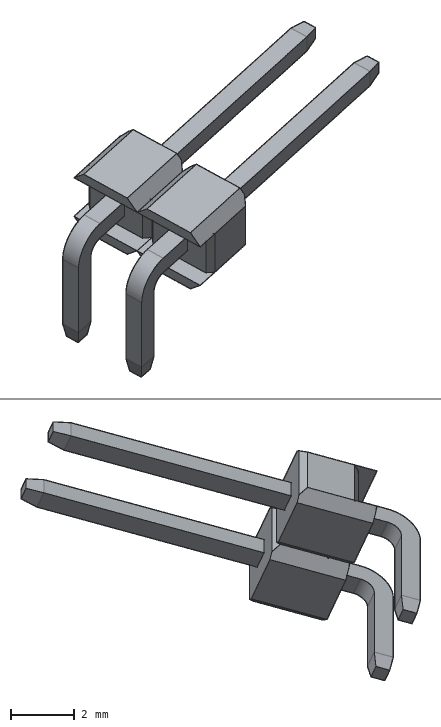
import cadquery as cq

pin_count = 2
overall_length = 12.36
overall_height = 5.5
pitch = 2.54

housing_height = 2.51
housing_length = 2.56
housing_front = 1.8
bevel = 0.4
corner_chamfer = 0.21
recess_depth = 0.56

pin_width = 0.64
bend_outer_radius = 1.11
tip_length = 0.57
tip_width = 0.47

housing_back = housing_front + housing_length
core_front = housing_front + recess_depth
core_height = housing_height - 2 * bevel
pin_bottom = housing_height / 2 - overall_height
pin_centers = [(i - (pin_count - 1) / 2) * pitch for i in range(pin_count)]


def make_cell(x):
    """One bevelled housing block, with a front recess between two flanges."""
    block = (
        cq.Workplane("XY")
        .box(pitch, housing_length, housing_height, centered=(True, False, True))
        .edges("|Y")
        .chamfer(bevel)
    )
    back_corners = (
        cq.Workplane("XY")
        .box(pitch, housing_length, housing_height, centered=(True, False, True))
        .edges("|Z and >Y")
        .chamfer(corner_chamfer)
    )
    recess = cq.Workplane("XY").box(pitch, housing_length, core_height, centered=(True, False, True))
    core = (
        cq.Workplane("XY")
        .box(pitch, housing_length - recess_depth, core_height, centered=(True, False, True))
        .edges("|Z and <Y")
        .chamfer(corner_chamfer)
        .translate((0, recess_depth, 0))
    )
    cell = block.intersect(back_corners).cut(recess.cut(core))
    return cell.translate((x, housing_front, 0))


def make_housing():
    """Adjoining cells joined into one body, with a square hole for each pin."""
    housing = make_cell(pin_centers[0])
    for x in pin_centers[1:]:
        housing = housing.union(make_cell(x))
    hole_length = housing_back - core_front
    for x in pin_centers:
        hole = (
            cq.Workplane("XY")
            .box(pin_width, hole_length, pin_width, centered=(True, False, True))
            .translate((x, core_front, 0))
        )
        housing = housing.cut(hole)
    return housing


def make_tip(base):
    """Tapered square end that starts on the given workplane."""
    return (
        base.rect(pin_width, pin_width)
        .workplane(offset=tip_length)
        .rect(tip_width, tip_width)
        .loft(combine=True)
    )


def make_pin(x):
    """Square pin bent down by a right angle, with a tapered tip on each end."""
    half = pin_width / 2
    inner_radius = bend_outer_radius - pin_width
    bend_center_z = half - bend_outer_radius
    long_leg_end = overall_length - tip_length
    short_leg_end = pin_bottom + tip_length
    diagonal = 0.5 ** 0.5
    outer_mid = (bend_outer_radius * (1 - diagonal), bend_center_z + bend_outer_radius * diagonal)
    inner_mid = (bend_outer_radius - inner_radius * diagonal, bend_center_z + inner_radius * diagonal)

    bent_bar = (
        cq.Workplane("YZ")
        .moveTo(0, short_leg_end)
        .lineTo(0, bend_center_z)
        .threePointArc(outer_mid, (bend_outer_radius, half))
        .lineTo(long_leg_end, half)
        .lineTo(long_leg_end, -half)
        .lineTo(bend_outer_radius, -half)
        .threePointArc(inner_mid, (pin_width, bend_center_z))
        .lineTo(pin_width, short_leg_end)
        .close()
        .extrude(half, both=True)
    )
    back_tip = make_tip(cq.Workplane(cq.Plane((0, long_leg_end, 0), (1, 0, 0), (0, 1, 0))))
    bottom_tip = make_tip(cq.Workplane(cq.Plane((0, half, short_leg_end), (1, 0, 0), (0, 0, -1))))
    return bent_bar.union(back_tip).union(bottom_tip).translate((x, 0, 0))


housing = make_housing()
pins = [make_pin(x) for x in pin_centers]

result = cq.Compound.makeCompound([housing.solids().val(), *[pin.solids().val() for pin in pins]])